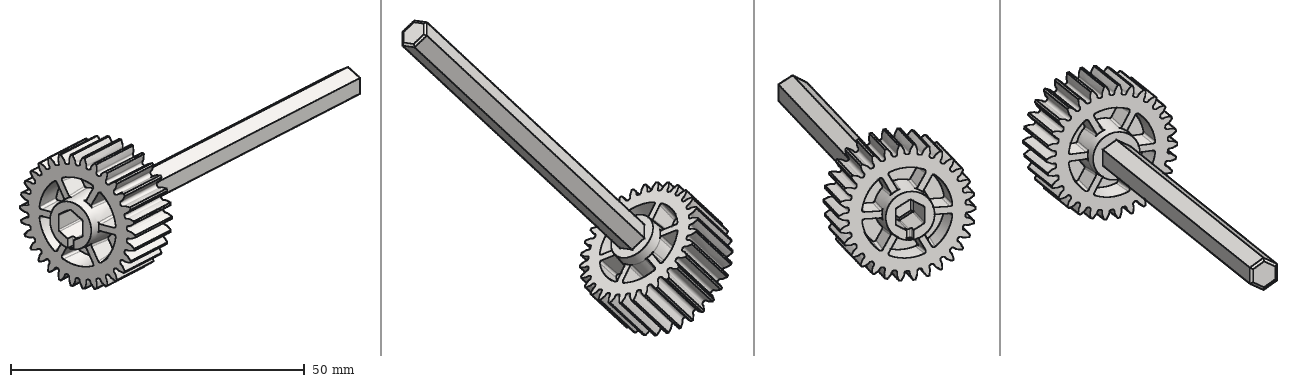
import cadquery as cq
import math


TEETH = 30
MODULE = 0.75
PRESSURE_ANGLE = math.radians(22)
BACKLASH = 0.1
PITCH_RADIUS = MODULE * TEETH / 2
TIP_RADIUS = PITCH_RADIUS + MODULE
ROOT_RADIUS = PITCH_RADIUS - 1.25 * MODULE
BASE_RADIUS = PITCH_RADIUS * math.cos(PRESSURE_ANGLE)
ROOT_HALF_WIDTH = 0.21
FACE_HALF_WIDTH = 5.45

HUB_HALF_LENGTH = 7.5
HUB_END_RADIUS = 4.3
POCKET_DEPTH = 4.45
POCKET_OUTER_RADIUS = 8.0
SPOKES = 6
SPOKE_WIDTH = 1.2
POCKET_CORNER_RADIUS = 0.4
DRAFT = math.radians(4)

HEX_ACROSS_FLATS = 5.0
HEX_ACROSS_CORNERS = HEX_ACROSS_FLATS / math.cos(math.pi / 6)
SHAFT_LENGTH = 82.5 - HUB_HALF_LENGTH
SHAFT_CHAMFER_LENGTH = 0.25
SHAFT_CHAMFER_INSET = 0.5
BORE_CORNER_FILLET = 0.3
SLOT_WIDTH = 1.2
SLOT_DEPTH = 1.65
SLOT_FILLET = 0.3


def plane_at(y):
    """Sketch plane facing +Y, with local x along +Z and local y along +X."""
    return cq.Plane(origin=(0, y, 0), xDir=(0, 0, 1), normal=(0, 1, 0))


def polar(radius, angle):
    return (radius * math.cos(angle), radius * math.sin(angle))


def involute_angle(radius):
    """Angle swept by the involute between the base circle and a radius."""
    roll = math.sqrt((radius / BASE_RADIUS) ** 2 - 1)
    return roll - math.atan(roll)


def half_tooth_angle(radius):
    """Half of the angle that a tooth spans at a radius."""
    thickness_at_pitch = math.pi * MODULE / 2 - BACKLASH
    half_angle_at_pitch = thickness_at_pitch / (2 * PITCH_RADIUS)
    return half_angle_at_pitch + involute_angle(PITCH_RADIUS) - involute_angle(radius)


def toothed_blank():
    """Involute spur gear with one tooth pointing along +X and smoothly rounded gaps."""
    flank_steps = 3
    step = (TIP_RADIUS - BASE_RADIUS) / flank_steps
    flank_radii = [BASE_RADIUS + step * i for i in range(flank_steps + 1)]
    pitch_angle = 2 * math.pi / TEETH
    root_half_angle = ROOT_HALF_WIDTH / ROOT_RADIUS

    first = math.pi / 2
    first_corner = polar(TIP_RADIUS, first - half_tooth_angle(TIP_RADIUS))
    outline = cq.Workplane(plane_at(-FACE_HALF_WIDTH)).moveTo(*first_corner)
    for tooth in range(TEETH):
        center = first + tooth * pitch_angle
        next_center = center + pitch_angle
        gap_center = center + pitch_angle / 2
        falling = [polar(r, center + half_tooth_angle(r)) for r in reversed(flank_radii)]
        root = [polar(ROOT_RADIUS, gap_center + side * root_half_angle) for side in (-1, 1)]
        rising = [polar(r, next_center - half_tooth_angle(r)) for r in flank_radii]
        outline = outline.threePointArc(polar(TIP_RADIUS, center), falling[0])
        outline = outline.spline(falling[1:] + root + rising, includeCurrent=True)
    return outline.close().extrude(2 * FACE_HALF_WIDTH)


def hub_radius(y):
    return HUB_END_RADIUS + (HUB_HALF_LENGTH - abs(y)) * math.tan(DRAFT)


def hub():
    """Hub that thickens with the draft from both ends towards its middle."""
    half_section = [
        (0, -HUB_HALF_LENGTH),
        (HUB_END_RADIUS, -HUB_HALF_LENGTH),
        (hub_radius(0), 0),
        (HUB_END_RADIUS, HUB_HALF_LENGTH),
        (0, HUB_HALF_LENGTH),
    ]
    return cq.Workplane("XY").polyline(half_section).close().revolve(360, (0, 0), (0, 1))


def pockets():
    """Drafted pockets between the spokes in the -Y face, with rounded corners."""
    face_y = -FACE_HALF_WIDTH
    floor_y = face_y + POCKET_DEPTH
    ring_section = [
        (hub_radius(face_y), face_y),
        (POCKET_OUTER_RADIUS, face_y),
        (POCKET_OUTER_RADIUS - POCKET_DEPTH * math.tan(DRAFT), floor_y),
        (hub_radius(floor_y), floor_y),
    ]
    ring = cq.Workplane("XY").polyline(ring_section).close().revolve(360, (0, 0), (0, 1))
    spoke_bar = (
        cq.Workplane(plane_at(face_y))
        .rect(SPOKE_WIDTH, 2 * TIP_RADIUS)
        .extrude(POCKET_DEPTH, taper=-math.degrees(DRAFT))
    )
    for i in range(SPOKES // 2):
        ring = ring.cut(spoke_bar.rotate((0, 0, 0), (0, 1, 0), i * 360 / SPOKES))
    corners = ring.edges().filter(lambda edge: edge.BoundingBox().ylen > POCKET_DEPTH / 2)
    return corners.fillet(POCKET_CORNER_RADIUS)


def hexagon_bar(start_y, length):
    return cq.Workplane(plane_at(start_y)).polygon(6, HEX_ACROSS_CORNERS).extrude(length)


def bore():
    """Through bore: round-cornered up to the end of the shaft, then a sharp seat that fits the shaft."""
    open_end = hexagon_bar(-HUB_HALF_LENGTH, HUB_HALF_LENGTH).edges("|Y").fillet(BORE_CORNER_FILLET)
    return open_end.union(hexagon_bar(0, HUB_HALF_LENGTH))


def slot():
    """Shallow slot in the -Y end of the hub, from the bore down through the hub wall."""
    return (
        cq.Workplane(plane_at(-HUB_HALF_LENGTH))
        .center(-HUB_END_RADIUS / 2, 0)
        .rect(HUB_END_RADIUS, SLOT_WIDTH)
        .extrude(SLOT_DEPTH)
        .faces(">Y")
        .edges("|Z")
        .fillet(SLOT_FILLET)
    )


def make_gear():
    near_pockets = pockets()
    far_pockets = near_pockets.rotate((0, 0, 0), (0, 0, 1), 180)
    gear = toothed_blank().union(hub()).cut(near_pockets).cut(far_pockets)
    return gear.cut(slot()).cut(bore())


def make_shaft():
    """Hexagonal shaft from the middle of the hub, chamfered at both ends."""
    shaft = hexagon_bar(0, SHAFT_LENGTH)
    return shaft.faces("<Y or >Y").chamfer(SHAFT_CHAMFER_LENGTH, SHAFT_CHAMFER_INSET)


gear = make_gear()
shaft = make_shaft()
result = cq.Compound.makeCompound([gear.val(), shaft.val()])